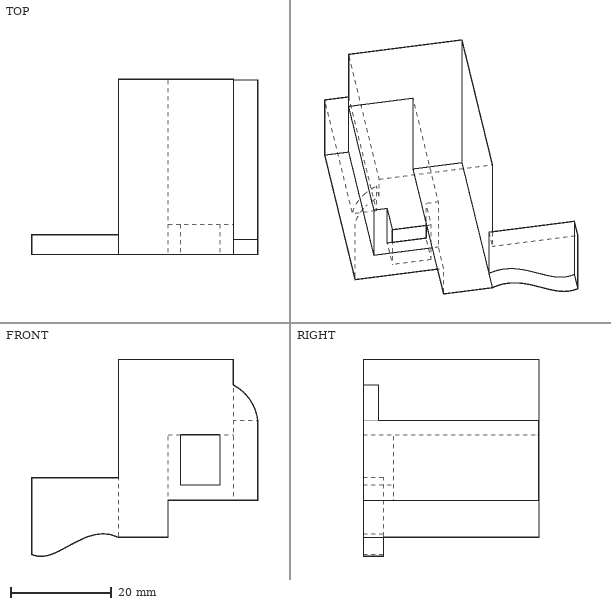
import cadquery as cq

length = 45.1
depth = 35.0
height = 39.3

housing_left = 17.3
housing_right = 40.25
housing_bottom = 3.8
step_x = 27.2
step_z = 11.2

front_plate_thickness = 3.02
arm_thickness = 4.0
arm_top = 15.75
arm_tip_bottom = 0.35
arm_curve = [(1.7, 0.0), (7.7, 2.3), (14.2, 4.5)]
shoulder_z = 34.2
round_end_z = 27.15
round_middle = (43.35, 31.55)

window_left = 29.7
window_right = 37.55
window_bottom = 14.25
window_top = 24.25
window_wall_thickness = 6.0
side_block_back = 34.9


def box(x_range, y_range, z_range):
    """Box spanning the given (low, high) limits along each axis."""
    sizes = [high - low for low, high in (x_range, y_range, z_range)]
    corner = (x_range[0], y_range[0], z_range[0])
    return cq.Workplane("XY").box(*sizes, centered=False).translate(corner)


def extrude_back(outline, thickness):
    """Extrude an XZ outline from the front face toward +Y."""
    return outline.close().extrude(-thickness)


housing = extrude_back(
    cq.Workplane("XZ")
    .moveTo(housing_left, height)
    .lineTo(housing_right, height)
    .lineTo(housing_right, step_z)
    .lineTo(step_x, step_z)
    .lineTo(step_x, housing_bottom)
    .lineTo(housing_left, housing_bottom),
    depth,
)

cheek = extrude_back(
    cq.Workplane("XZ")
    .moveTo(housing_right, step_z)
    .lineTo(length, step_z)
    .lineTo(length, round_end_z)
    .threePointArc(round_middle, (housing_right, shoulder_z)),
    front_plate_thickness,
)

arm = extrude_back(
    cq.Workplane("XZ")
    .moveTo(housing_left, arm_top)
    .lineTo(0, arm_top)
    .lineTo(0, arm_tip_bottom)
    .spline(arm_curve + [(housing_left, housing_bottom)], includeCurrent=True),
    arm_thickness,
)

side_block = box(
    (housing_right, length),
    (front_plate_thickness, side_block_back),
    (step_z, round_end_z),
)

window = box(
    (window_left, window_right),
    (0, window_wall_thickness),
    (window_bottom, window_top),
)
cavity = box(
    (step_x, housing_right),
    (window_wall_thickness, depth),
    (step_z, window_top),
)

result = housing.cut(cavity).cut(window).union(cheek).union(arm).union(side_block)